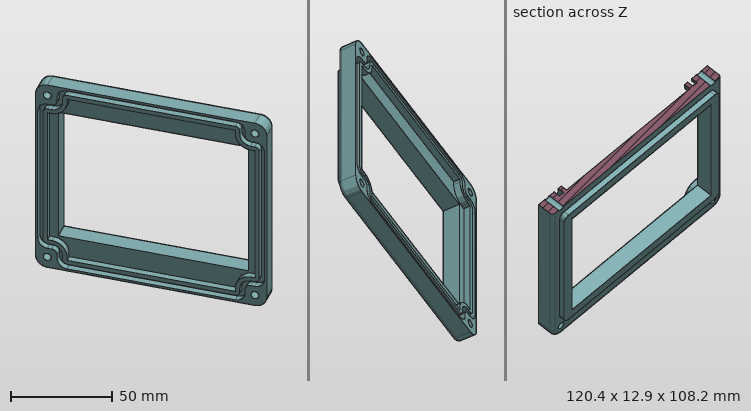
import cadquery as cq

WIDTH = 120.4
HEIGHT = 108.2
BODY_DEPTH = 9.8
LIP_DEPTH = 3.1
CORNER_RADIUS = 6.3
BACK_EDGE_RADIUS = 1.7

WINDOW_WIDTH = 99.0
WINDOW_HEIGHT = 73.5

LIP_WIDTH = 110.4
LIP_HEIGHT = 84.3
LIP_CORNER_RADIUS = 3.3

HOLE_DIAMETER = 4.1
HOLE_INSET = 6.1

GROOVE_INSET = 1.2
GROOVE_WIDTH = 2.8
RIB_WIDTH = 2.3
RECESS_DEPTH = 3.6
GROOVE_DEPTH = RECESS_DEPTH
NOTCH_INSET = 11.3
NOTCH_RADIUS = 2.9

RIB_OUTER_OFFSET = GROOVE_WIDTH
RIB_INNER_OFFSET = GROOVE_WIDTH + RIB_WIDTH
TOTAL_DEPTH = BODY_DEPTH + LIP_DEPTH
CORNER_SIDES = [(side_x, side_z) for side_x in (-1, 1) for side_z in (-1, 1)]


def block(width, height, front, depth):
    """Box centred on the Y axis, running back from Y = front."""
    return cq.Workplane("XY").box(width, depth, height).translate((0, front + depth / 2, 0))


def notched_block(offset, depth):
    """Rectangle with a rounded notch around each screw hole, running back from the front face.

    The offset moves the whole outline inward from the groove's outer wall. Outward corners
    lose radius and the notch corners gain it, so all offsets run parallel; the outward
    corners become sharp at the rib's inner wall.
    """
    half_width = WIDTH / 2 - GROOVE_INSET - offset
    half_height = HEIGHT / 2 - GROOVE_INSET - offset
    notch_size = NOTCH_INSET - GROOVE_INSET
    outward_radius = RIB_INNER_OFFSET - offset
    notch_radius = NOTCH_RADIUS + offset

    outline = block(2 * half_width, 2 * half_height, 0, depth)
    notch = block(2 * notch_size, 2 * notch_size, 0, depth).edges("|Y").fillet(notch_radius)
    for side_x, side_z in CORNER_SIDES:
        outline = outline.cut(notch.translate((side_x * half_width, 0, side_z * half_height)))

    if outward_radius > 0:
        tip_x = half_width - notch_size
        tip_z = half_height - notch_size
        for side_x, side_z in CORNER_SIDES:
            for x, z in ((half_width, tip_z), (tip_x, half_height)):
                tip = cq.selectors.NearestToPointSelector((side_x * x, depth / 2, side_z * z))
                outline = outline.edges(tip).fillet(outward_radius)
    return outline


def body():
    """Rounded plate with a softened back edge."""
    plate = block(WIDTH, HEIGHT, 0, BODY_DEPTH).edges("|Y").fillet(CORNER_RADIUS)
    return plate.faces(">Y").edges().fillet(BACK_EDGE_RADIUS)


def lip():
    """Plain collar standing behind the body."""
    return block(LIP_WIDTH, LIP_HEIGHT, BODY_DEPTH, LIP_DEPTH).edges("|Y").fillet(LIP_CORNER_RADIUS)


def screw_holes():
    """Pins that cut the four screw holes."""
    spacing_x = WIDTH - 2 * HOLE_INSET
    spacing_z = HEIGHT - 2 * HOLE_INSET
    return (
        cq.Workplane("XZ")
        .rect(spacing_x, spacing_z, forConstruction=True)
        .vertices()
        .circle(HOLE_DIAMETER / 2)
        .extrude(-BODY_DEPTH)
    )


groove = notched_block(0, GROOVE_DEPTH).cut(notched_block(RIB_OUTER_OFFSET, GROOVE_DEPTH))
recess = notched_block(RIB_INNER_OFFSET, RECESS_DEPTH)
window = block(WINDOW_WIDTH, WINDOW_HEIGHT, 0, TOTAL_DEPTH)

result = body().union(lip()).cut(window).cut(groove).cut(recess).cut(screw_holes())